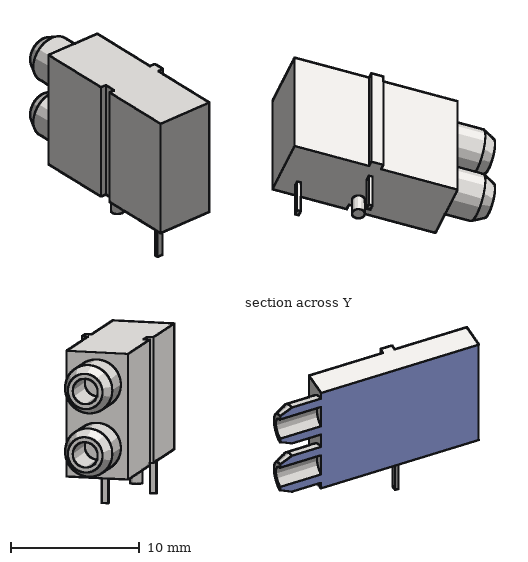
import cadquery as cq

block_length = 13.5
block_width = 4.96
block_height = 9.93

key_width = 1.0
key_depth = 0.5
key_x = 6.83

nose_length = 3.5
nose_diameter = 3.8
nose_tip_diameter = 2.79
nose_taper_length = 1.0
bore_diameter = 2.0
bore_depth = nose_length
pitch = 5.0
nose_heights = [block_height / 2 - pitch / 2, block_height / 2 + pitch / 2]

terminal_y = pitch / 4
standoff_diameter = key_width
standoff_length = 1.53
pin_thickness = 0.3
pin_width = 0.5
pin_length = 3.23
pin_positions = [
    (key_x, terminal_y),
    (key_x + pitch, -terminal_y),
]


def make_key(center_y):
    """Full-height bar that forms the rib or cuts the groove."""
    return (
        cq.Workplane("XY")
        .center(key_x, center_y)
        .rect(key_width, key_depth)
        .extrude(block_height)
    )


def make_nose(height):
    """Nose with a tapered tip, revolved about an axis along X."""
    root_radius = nose_diameter / 2
    tip_radius = nose_tip_diameter / 2
    return (
        cq.Workplane("XZ")
        .moveTo(0, 0)
        .lineTo(0, root_radius)
        .lineTo(nose_taper_length - nose_length, root_radius)
        .lineTo(-nose_length, tip_radius)
        .lineTo(-nose_length, 0)
        .close()
        .revolve(360, (0, 0), (1, 0))
        .translate((0, 0, height))
    )


def make_bore(height):
    """Blind bore running inward from the nose tip."""
    return (
        cq.Workplane("YZ", origin=(-nose_length, 0, height))
        .circle(bore_diameter / 2)
        .extrude(bore_depth)
    )


def make_standoff():
    return (
        cq.Workplane("XY")
        .center(key_x, -terminal_y)
        .circle(standoff_diameter / 2)
        .extrude(-standoff_length)
    )


def make_housing():
    body = (
        cq.Workplane("XY")
        .center(block_length / 2, 0)
        .rect(block_length, block_width)
        .extrude(block_height)
    )
    body = body.union(make_key((block_width + key_depth) / 2))
    body = body.cut(make_key((key_depth - block_width) / 2))
    body = body.union(make_standoff())
    for height in nose_heights:
        body = body.union(make_nose(height))
        body = body.cut(make_bore(height))
    return body


def make_pin(x, y):
    """Flat terminal pin hanging from the bottom of the block."""
    return (
        cq.Workplane("XY")
        .center(x, y)
        .rect(pin_thickness, pin_width)
        .extrude(-pin_length)
    )


housing = make_housing()
pins = [make_pin(x, y).val() for x, y in pin_positions]

result = cq.Compound.makeCompound([housing.val(), *pins])